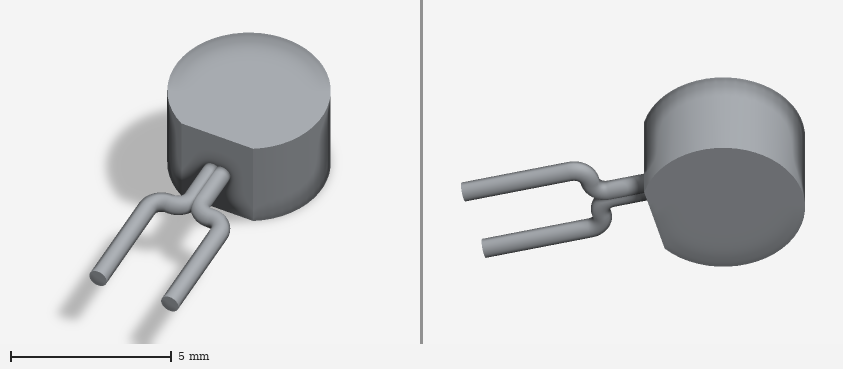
import cadquery as cq
import math

housing_diameter = 5.1
housing_height = 3.2

lead_pitch = 2.5
lead_diameter = 0.6
stem_length = 1.4
bend_radius = 0.5
spread_length = 0.1
total_length = 10.6

housing_radius = housing_diameter / 2
flat_width = lead_pitch
flat_y = -math.sqrt(housing_radius**2 - (flat_width / 2) ** 2)
tip_y = housing_radius - total_length

lead_x = lead_pitch / 2
stem_x = lead_x - 2 * bend_radius - spread_length


def make_housing():
    """Disc with its -Y side cut off flat."""
    half_flat = flat_width / 2
    return (
        cq.Workplane("XY")
        .moveTo(-half_flat, flat_y)
        .threePointArc((0, housing_radius), (half_flat, flat_y))
        .close()
        .extrude(housing_height / 2, both=True)
    )


def make_lead(side):
    """Wire bent in an S; side is +1 for the lead at +X and -1 for the one at -X."""
    first_bend_y = flat_y - stem_length
    spread_y = first_bend_y - bend_radius
    second_bend_y = spread_y - bend_radius
    spread_start_x = stem_x + bend_radius
    spread_end_x = spread_start_x + spread_length
    bend_middle = bend_radius * math.sqrt(0.5)

    path = (
        cq.Workplane("XY")
        .moveTo(side * stem_x, flat_y)
        .lineTo(side * stem_x, first_bend_y)
        .threePointArc(
            (side * (spread_start_x - bend_middle), first_bend_y - bend_middle),
            (side * spread_start_x, spread_y),
        )
        .lineTo(side * spread_end_x, spread_y)
        .threePointArc(
            (side * (spread_end_x + bend_middle), second_bend_y + bend_middle),
            (side * lead_x, second_bend_y),
        )
        .lineTo(side * lead_x, tip_y)
    )
    wire = (
        cq.Workplane("XZ", origin=(side * stem_x, flat_y, 0))
        .circle(lead_diameter / 2)
        .sweep(path)
    )

    own_half = cq.Workplane("XY").box(total_length, 2 * total_length, housing_height)
    own_half = own_half.translate((side * total_length / 2, 0, 0))
    return wire.intersect(own_half)


housing = make_housing()
leads = [make_lead(side) for side in (-1, 1)]

result = cq.Compound.makeCompound([housing.val(), *[lead.val().Solids()[0] for lead in leads]])